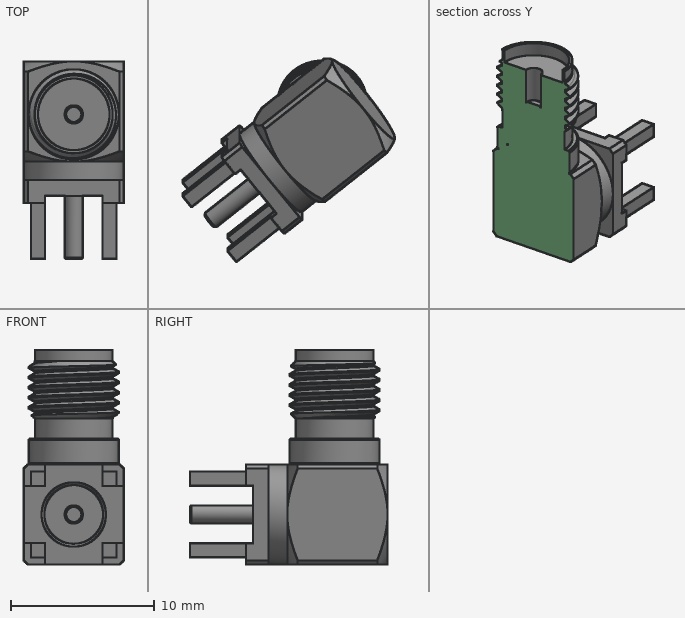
import cadquery as cq
import math


body_size = 7.0
body_offset_y = 0.2
body_front_y = body_offset_y - body_size / 2
body_mid_z = body_size / 2
edge_chamfer = 0.3
neck_length = 1.3
neck_radius = body_size / 2
corner_cone_angle = 30.0

total_height = 15.0
barrel_radius = 2.72
flange_radius = 6.3 / 2
flange_top_z = 8.8
flange_chamfer = 0.1
bore_radius = 2.5
bore_depth = 0.95

thread_radius = flange_radius
inch = 25.4
turns_per_inch = 36
thread_pitch = inch / turns_per_inch
thread_bottom_z = 10.2
thread_top_z = 14.2
thread_depth = thread_radius - barrel_radius
root_radius = barrel_radius + 0.02
crest_width = thread_pitch / 8
flank_angle = 30.0
groove_overcut = 0.05
groove_phase_z = 13.07
groove_turns_below = 5
groove_turns = 7.5
blank_margin = 2 * thread_pitch

contact_radius = 1.27 / 2
contact_chamfer = 0.1
socket_depth = 2.5

plate_thickness = 1.6
pad_height = 0.5
leg_size = 1.0
leg_length = 3.9
leg_inner = 2.0
recess_radius = 2.25
recess_floor_radius = 2.05
recess_depth = 0.2

plate_back_y = body_front_y - neck_length
pad_face_y = plate_back_y - plate_thickness
plate_face_y = pad_face_y + pad_height
leg_end_y = pad_face_y - leg_length


def facing_front(y):
    """Workplane at the given y, centred on the pin axis, extruding toward -Y."""
    return cq.Workplane("XZ", origin=(0, y, body_mid_z))


def chamfered_square(y, length):
    """Square prism along -Y with its four long edges chamfered."""
    prism = facing_front(y).rect(body_size, body_size).extrude(length)
    return prism.edges("|Y").chamfer(edge_chamfer)


def make_body():
    """Cube whose end corners are turned off by a cone at each end."""
    back_y = body_front_y + body_size
    outer_radius = body_size
    cone_length = (outer_radius - neck_radius) * math.tan(math.radians(corner_cone_angle))
    turned = (
        cq.Workplane("XY")
        .moveTo(0, body_front_y)
        .lineTo(neck_radius, body_front_y)
        .lineTo(outer_radius, body_front_y + cone_length)
        .lineTo(outer_radius, back_y - cone_length)
        .lineTo(neck_radius, back_y)
        .lineTo(0, back_y)
        .close()
        .revolve(360, (0, 0, 0), (0, 1, 0))
        .translate((0, 0, body_mid_z))
    )
    return chamfered_square(back_y, body_size).intersect(turned)


def make_thread():
    """Cylinder with 45 degree ends and a right-hand helical V groove."""
    envelope = (
        cq.Workplane("XY", origin=(0, 0, thread_bottom_z))
        .circle(thread_radius)
        .extrude(thread_top_z - thread_bottom_z)
        .faces("<Z or >Z")
        .chamfer(thread_depth)
    )
    slope = math.tan(math.radians(flank_angle))
    crest_half = (thread_pitch - crest_width) / 2
    outer_half = crest_half + groove_overcut * slope
    root_half = crest_half - (thread_radius - root_radius) * slope
    outer_radius = thread_radius + groove_overcut
    start_z = groove_phase_z - groove_turns_below * thread_pitch
    path = cq.Wire.makeHelix(
        thread_pitch, groove_turns * thread_pitch, root_radius, cq.Vector(0, 0, start_z)
    )
    groove = (
        cq.Workplane("XZ")
        .moveTo(root_radius, start_z - root_half)
        .lineTo(outer_radius, start_z - outer_half)
        .lineTo(outer_radius, start_z + outer_half)
        .lineTo(root_radius, start_z + root_half)
        .close()
        .sweep(cq.Workplane(obj=path), isFrenet=True)
    )
    blank_length = thread_top_z - thread_bottom_z + 2 * blank_margin
    blank = (
        cq.Workplane("XY", origin=(0, 0, thread_bottom_z - blank_margin))
        .circle(thread_radius)
        .extrude(blank_length)
    )
    return blank.cut(groove).intersect(envelope)


def make_barrel():
    """Flange, plain barrel and thread, with the open bore at the top."""
    flange = (
        cq.Workplane("XY", origin=(0, 0, body_size))
        .circle(flange_radius)
        .extrude(flange_top_z - body_size)
        .faces("<Z or >Z")
        .chamfer(flange_chamfer)
    )
    tube = (
        cq.Workplane("XY", origin=(0, 0, body_size))
        .circle(barrel_radius)
        .extrude(total_height - body_size)
    )
    bore = (
        cq.Workplane("XY", origin=(0, 0, total_height))
        .circle(bore_radius)
        .extrude(-bore_depth)
    )
    return flange.union(make_thread().union(tube)).cut(bore)


def make_socket():
    """Contact hole in the bore floor, ending on the chamfered tip of the contact."""
    floor_z = total_height - bore_depth
    contact_z = floor_z - socket_depth
    foot_z = contact_z - contact_chamfer
    return (
        cq.Workplane("XZ")
        .moveTo(0, floor_z)
        .lineTo(contact_radius, floor_z)
        .lineTo(contact_radius, foot_z)
        .lineTo(contact_radius - contact_chamfer, contact_z)
        .lineTo(0, contact_z)
        .close()
        .revolve(360, (0, 0, 0), (0, 1, 0))
    )


def make_plate():
    """Square plate with a raised pad in each corner and a conical recess."""
    plate = chamfered_square(plate_back_y, plate_thickness)
    channel = 2 * leg_inner
    for width, height in ((channel, body_size), (body_size, channel)):
        plate = plate.cut(facing_front(plate_face_y).rect(width, height).extrude(pad_height))
    recess = (
        facing_front(plate_face_y)
        .circle(recess_radius)
        .workplane(offset=-recess_depth)
        .circle(recess_floor_radius)
        .loft()
    )
    return plate.cut(recess)


def make_legs():
    """Four square legs standing on the corner pads."""
    leg_pitch = 2 * leg_inner + leg_size
    return (
        facing_front(pad_face_y)
        .rarray(leg_pitch, leg_pitch, 2, 2)
        .rect(leg_size, leg_size)
        .extrude(leg_length)
    )


def make_pin():
    """Round contact pin with a chamfered tip, level with the leg ends."""
    return (
        facing_front(plate_back_y)
        .circle(contact_radius)
        .extrude(plate_back_y - leg_end_y)
        .faces("<Y")
        .chamfer(contact_chamfer)
    )


neck = facing_front(body_front_y).circle(neck_radius).extrude(neck_length)

result = make_body().union(make_barrel()).cut(make_socket())
for board_part in (neck, make_plate(), make_legs(), make_pin()):
    result = result.union(board_part)